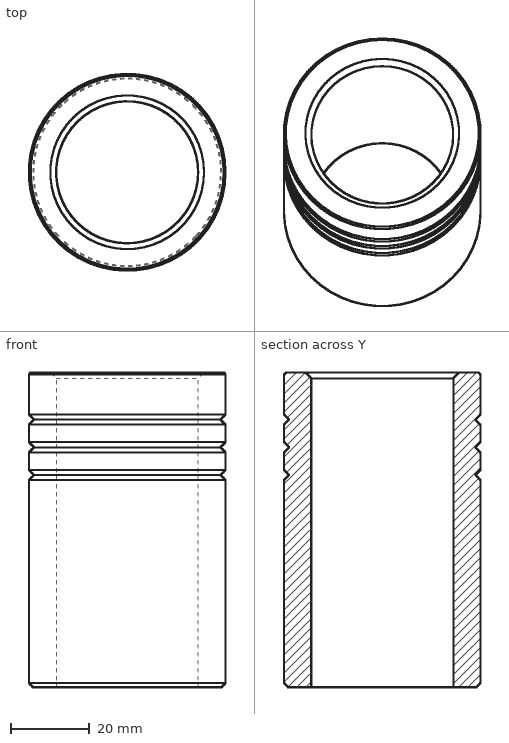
import cadquery as cq

length = 80.0
outer_diameter = 50.0
bore_diameter = 36.0

top_chamfer = 0.5
bottom_chamfer = 1.0
bore_chamfer_width = 1.5
bore_chamfer_depth = 1.5

groove_count = 3
groove_width = 2.6
groove_depth = 1.3
groove_pitch = 7.0
first_groove_below_top = 12.0

outer_radius = outer_diameter / 2
bore_radius = bore_diameter / 2


def bushing_body():
    """Revolve the wall section, chamfered at its outer edges and upper bore mouth."""
    return (
        cq.Workplane("XZ")
        .moveTo(bore_radius, 0)
        .lineTo(outer_radius - bottom_chamfer, 0)
        .lineTo(outer_radius, bottom_chamfer)
        .lineTo(outer_radius, length - top_chamfer)
        .lineTo(outer_radius - top_chamfer, length)
        .lineTo(bore_radius + bore_chamfer_width, length)
        .lineTo(bore_radius, length - bore_chamfer_depth)
        .close()
        .revolve(360, (0, 0, 0), (0, 1, 0))
    )


def groove_cutter(center_height):
    """Ring with a V section whose tip points towards the axis."""
    extension = 0.8
    half_width = groove_width / 2
    mouth_half_width = half_width * (groove_depth + extension) / groove_depth
    mouth_radius = outer_radius + extension
    return (
        cq.Workplane("XZ")
        .moveTo(outer_radius - groove_depth, center_height)
        .lineTo(mouth_radius, center_height - mouth_half_width)
        .lineTo(mouth_radius, center_height + mouth_half_width)
        .close()
        .revolve(360, (0, 0, 0), (0, 1, 0))
    )


result = bushing_body()
for index in range(groove_count):
    groove_height = length - first_groove_below_top - index * groove_pitch
    result = result.cut(groove_cutter(groove_height))